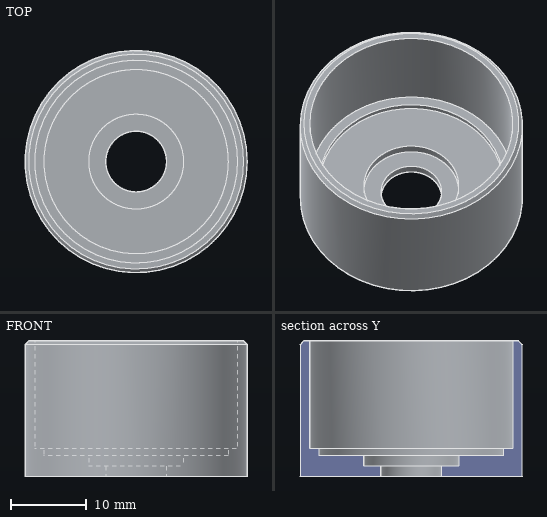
import cadquery as cq

outer_diameter = 29.4
height = 18.0
rim_chamfer = 0.5

bore_diameter = 26.8
bore_depth = 14.25
recess_diameter = 24.37
recess_depth = 0.9
counterbore_diameter = 12.55
counterbore_depth = 1.4
hole_diameter = 8.0

ledge_z = height - bore_depth
floor_z = ledge_z - recess_depth
seat_z = floor_z - counterbore_depth


def cut_round(body, diameter, bottom_z):
    """Remove a centred cylinder from bottom_z up to the open top."""
    cutter = cq.Workplane("XY", origin=(0, 0, bottom_z)).circle(diameter / 2).extrude(height - bottom_z)
    return body.cut(cutter)


result = cq.Workplane("XY").circle(outer_diameter / 2).extrude(height)
result = result.faces(">Z").edges().chamfer(rim_chamfer)

result = cut_round(result, bore_diameter, ledge_z)
result = cut_round(result, recess_diameter, floor_z)
result = cut_round(result, counterbore_diameter, seat_z)
result = cut_round(result, hole_diameter, 0)